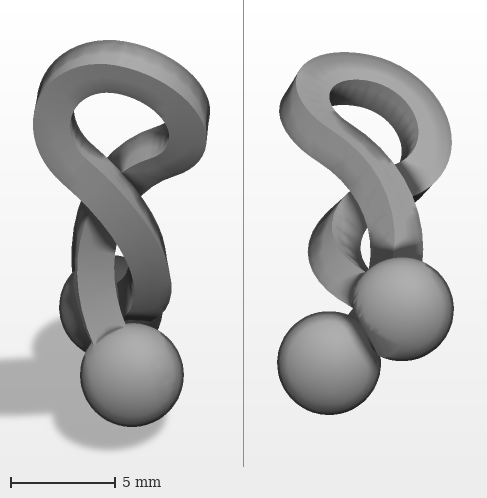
import cadquery as cq
import math

height = 20.93
bar_side = 1.8
loop_radius = 3.25
loop_tilt = 10.0
loop_angle = 144.0
ball_diameter = 5.0
ball_x = 1.15
ball_y = 2.24

ball_radius = ball_diameter / 2
ball_center = cq.Vector(-ball_x, ball_y, ball_radius)
top_z = height - bar_side / 2
tilt = math.radians(loop_tilt)


def loop_point(angle_deg):
    """Point on the tilted half loop, at an angle from its top."""
    angle = math.radians(angle_deg)
    drop = loop_radius * (1 - math.cos(angle))
    return cq.Vector(
        -loop_radius * math.sin(angle),
        -drop * math.sin(tilt),
        top_z - drop * math.cos(tilt),
    )


def make_strand():
    """Half loop and the arc curving from it to the ball centre, swept as one square bar."""
    half_loop = cq.Edge.makeThreePointArc(
        loop_point(0), loop_point(loop_angle / 2), loop_point(loop_angle)
    )
    arm = cq.Edge.makeTangentArc(loop_point(loop_angle), half_loop.tangentAt(1), ball_center)
    path = cq.Workplane(cq.Wire.assembleEdges([half_loop, arm]))
    profile = cq.Workplane("YZ").center(0, top_z).rect(bar_side, bar_side)
    return profile.sweep(path)


def make_ball():
    """Ball at the lower end of a strand."""
    return cq.Workplane().sphere(ball_radius).translate(ball_center)


half = make_strand().union(make_ball())
result = half.union(half.rotate((0, 0, 0), (0, 0, 1), 180))